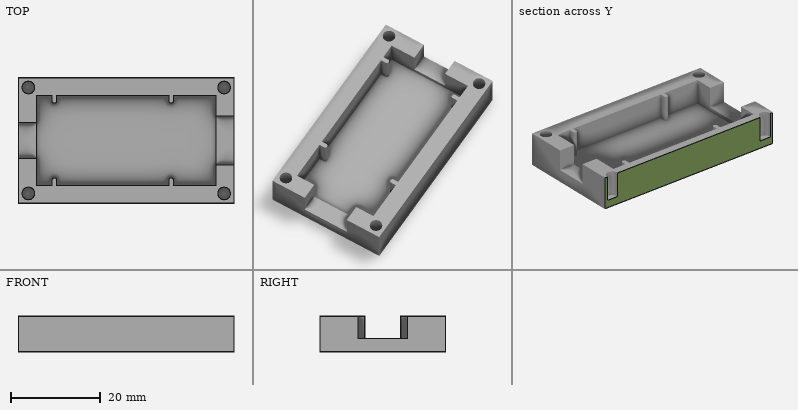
import cadquery as cq

LENGTH = 48.0
WIDTH = 28.0
HEIGHT = 8.0
WALL = 4.0
FLOOR = 2.0

NOTCH_SILL = 3.0
LEFT_NOTCH_WIDTH = 8.0
RIGHT_NOTCH_WIDTH = 11.0

HOLE_DIAMETER = 2.8
HOLE_EDGE_OFFSET = 2.2
HOLE_DEPTH = HEIGHT - FLOOR

RIB_WIDTH = 1.0
RIB_LENGTH = 1.7
LEFT_RIB_X = -16.0
RIB_SPACING = 26.0

CAVITY_LENGTH = LENGTH - 2 * WALL
CAVITY_WIDTH = WIDTH - 2 * WALL


def make_tray():
    """Rectangular block with an open-topped cavity."""
    block = cq.Workplane("XY").box(LENGTH, WIDTH, HEIGHT, centered=(True, True, False))
    cavity = (
        cq.Workplane("XY")
        .workplane(offset=FLOOR)
        .rect(CAVITY_LENGTH, CAVITY_WIDTH)
        .extrude(HEIGHT - FLOOR)
    )
    return block.cut(cavity)


def make_notch(side, width):
    """Cutter for the end wall at -X (side = -1) or +X (side = 1)."""
    wall_centre_x = side * (LENGTH - WALL) / 2
    return (
        cq.Workplane("XY")
        .workplane(offset=NOTCH_SILL)
        .center(wall_centre_x, 0)
        .rect(WALL, width)
        .extrude(HEIGHT - NOTCH_SILL)
    )


def make_corner_holes():
    """Cutters for the four corner holes, running down from the rim."""
    return (
        cq.Workplane("XY")
        .workplane(offset=HEIGHT)
        .rect(LENGTH - 2 * HOLE_EDGE_OFFSET, WIDTH - 2 * HOLE_EDGE_OFFSET, forConstruction=True)
        .vertices()
        .circle(HOLE_DIAMETER / 2)
        .extrude(-HOLE_DEPTH)
    )


def make_rib(x, side):
    """Full-height rib on the long wall at -Y (side = -1) or +Y (side = 1)."""
    half_width = RIB_WIDTH / 2
    wall_y = side * CAVITY_WIDTH / 2
    tip_y = wall_y - side * RIB_LENGTH
    nose_start_y = tip_y + side * half_width
    return (
        cq.Workplane("XY")
        .workplane(offset=FLOOR)
        .moveTo(x - half_width, wall_y)
        .lineTo(x - half_width, nose_start_y)
        .threePointArc((x, tip_y), (x + half_width, nose_start_y))
        .lineTo(x + half_width, wall_y)
        .close()
        .extrude(HEIGHT - FLOOR)
    )


result = make_tray()
result = result.cut(make_notch(-1, LEFT_NOTCH_WIDTH))
result = result.cut(make_notch(1, RIGHT_NOTCH_WIDTH))
result = result.cut(make_corner_holes())
for rib_x in (LEFT_RIB_X, LEFT_RIB_X + RIB_SPACING):
    for wall_side in (-1, 1):
        result = result.union(make_rib(rib_x, wall_side))